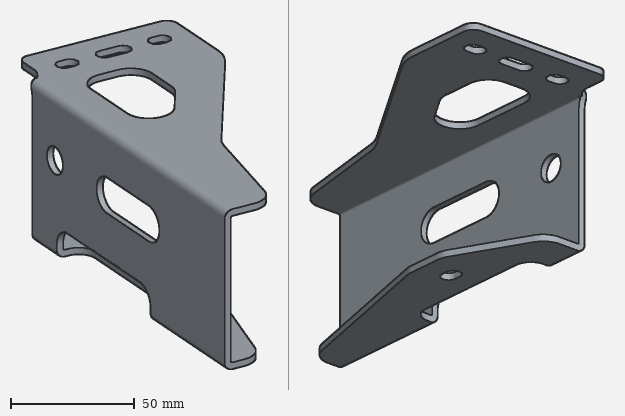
import cadquery as cq
import math

LENGTH = 170.0
DEPTH = 79.9
HEIGHT = 71.0
THICKNESS = 3.0
BEND_RADIUS = 3.7
INNER_RADIUS = BEND_RADIUS - THICKNESS
BOTTOM_DEPTH = 40.6
WEB_LEFT = 22.8
FLANGE_ZONE = HEIGHT / 2

SMALL_CORNER = 5.0
CORNER = 10.0
WIDE_CORNER = 20.0

TAB_FRONT = 7.0
SHOULDER_X = 41.8
WAIST = (112.5, 34.0)
TOP_RIGHT_Y = 22.5

RELIEF_RADIUS = CORNER
RELIEF_X = WEB_LEFT - RELIEF_RADIUS
RELIEF_END_Z = HEIGHT - 7.1

SLOT_WIDTH = 7.0
SHORT_SLOT = 9.9
LONG_SLOT = 15.8
TAB_SLOT_X = 15.0
TAB_SLOTS = [(21.5, SHORT_SLOT), (43.5, LONG_SLOT), (65.3, SHORT_SLOT)]
WINDOW_LEFT = 31.0
WINDOW_RIGHT = 78.9
WINDOW_FRONT = 16.7
WINDOW_BACK = 45.5
WINDOW_BEVEL_X = 58.8

WEB_HOLE_Z = HEIGHT - 28.0
WEB_HOLE_X = 40.1
WEB_HOLE_DIAMETER = 12.0
WEB_SLOT_X = 96.0
WEB_SLOT_LENGTH = 48.0
WEB_SLOT_WIDTH = 15.8

BOTTOM_SIDE_Y = 19.7
BOTTOM_PEAK_X = 64.0
BOTTOM_SLOT_X = 74.1
BOTTOM_SLOT_Y = 26.9
BOTTOM_RIGHT_Y = 17.0
NOTCH_LEFT = 41.6
NOTCH_RIGHT = 113.2
NOTCH_HEIGHT = 14.3
NOTCH_REACH = 13.5
NOTCH_CORNER = 8.0


def channel():
    """Bent section along the full length, before its edges are trimmed."""
    outer = cq.Workplane("XY").box(LENGTH, DEPTH, HEIGHT, centered=False)
    outer = outer.edges("|X and <Y").fillet(BEND_RADIUS)
    inner = (
        cq.Workplane("XY")
        .box(LENGTH, DEPTH, HEIGHT - 2 * THICKNESS, centered=False)
        .translate((0, THICKNESS, THICKNESS))
        .edges("|X and <Y")
        .fillet(INNER_RADIUS)
    )
    return outer.cut(inner)


def rounded_prism(corners, height):
    """Upright prism; each corner is (x, y, rounding radius), zero for a sharp one."""
    prism = cq.Workplane("XY").polyline([(x, y) for x, y, _ in corners]).close().extrude(height)
    for x, y, radius in corners:
        if radius:
            edge = cq.selectors.NearestToPointSelector((x, y, height / 2))
            prism = prism.edges("|Z").edges(edge).fillet(radius)
    return prism


def top_flange_zone():
    zone = rounded_prism(
        [
            (0, BEND_RADIUS, 0),
            (LENGTH, BEND_RADIUS, 0),
            (LENGTH, TOP_RIGHT_Y, CORNER),
            (*WAIST, WIDE_CORNER),
            (SHOULDER_X, DEPTH, WIDE_CORNER),
            (0, DEPTH, SMALL_CORNER),
        ],
        FLANGE_ZONE,
    )
    relief_width = relief_reach(TAB_FRONT - BEND_RADIUS)
    middle_drop = (TAB_FRONT - BEND_RADIUS) / 2
    relief = (
        cq.Workplane("XY")
        .moveTo(0, BEND_RADIUS)
        .lineTo(0, TAB_FRONT)
        .lineTo(RELIEF_X, TAB_FRONT)
        .threePointArc(
            (RELIEF_X + relief_reach(middle_drop), TAB_FRONT - middle_drop),
            (RELIEF_X + relief_width, BEND_RADIUS),
        )
        .close()
        .extrude(FLANGE_ZONE)
    )
    tab_corner = cq.selectors.NearestToPointSelector((0, TAB_FRONT, FLANGE_ZONE / 2))
    zone = zone.cut(relief).edges("|Z").edges(tab_corner).fillet(SMALL_CORNER)
    return zone.translate((0, 0, HEIGHT - FLANGE_ZONE))


def relief_reach(drop):
    """Sideways reach of the relief arc at a distance below its start."""
    return math.sqrt(RELIEF_RADIUS**2 - (RELIEF_RADIUS - drop) ** 2)


def web_zone():
    """Web and both bends; the upper left edge leans toward the tab."""
    bend_start_x = RELIEF_X + relief_reach(TAB_FRONT - BEND_RADIUS)
    bend_end_z = HEIGHT - BEND_RADIUS
    remaining = bend_end_z - RELIEF_END_Z
    bend_end_x = RELIEF_X + relief_reach(RELIEF_RADIUS - remaining)
    middle_x = RELIEF_X + relief_reach(RELIEF_RADIUS - remaining / 2)
    return (
        cq.Workplane("XZ")
        .moveTo(WEB_LEFT, 0)
        .lineTo(LENGTH, 0)
        .lineTo(LENGTH, HEIGHT)
        .lineTo(bend_start_x, HEIGHT)
        .lineTo(bend_end_x, bend_end_z)
        .threePointArc((middle_x, RELIEF_END_Z + remaining / 2), (WEB_LEFT, RELIEF_END_Z))
        .close()
        .extrude(-BEND_RADIUS)
    )


def bottom_flange_zone():
    bottom_peak_right = 2 * BOTTOM_SLOT_X - BOTTOM_PEAK_X
    return rounded_prism(
        [
            (WEB_LEFT, BEND_RADIUS, 0),
            (LENGTH, BEND_RADIUS, 0),
            (LENGTH, BOTTOM_RIGHT_Y, CORNER),
            (bottom_peak_right, BOTTOM_DEPTH, CORNER),
            (BOTTOM_PEAK_X, BOTTOM_DEPTH, CORNER),
            (WEB_LEFT, BOTTOM_SIDE_Y, CORNER),
        ],
        FLANGE_ZONE,
    )


def top_openings():
    window_slope = (DEPTH - WAIST[1]) / (WAIST[0] - SHOULDER_X)
    bevel_end_y = WINDOW_BACK - window_slope * (WINDOW_RIGHT - WINDOW_BEVEL_X)
    cutter = rounded_prism(
        [
            (WINDOW_LEFT, WINDOW_FRONT, CORNER),
            (WINDOW_RIGHT, WINDOW_FRONT, CORNER),
            (WINDOW_RIGHT, bevel_end_y, CORNER),
            (WINDOW_BEVEL_X, WINDOW_BACK, CORNER),
            (WINDOW_LEFT, WINDOW_BACK, CORNER),
        ],
        FLANGE_ZONE,
    )
    for y, length in TAB_SLOTS:
        slot = cq.Workplane("XY").center(TAB_SLOT_X, y).slot2D(length, SLOT_WIDTH, 90)
        cutter = cutter.union(slot.extrude(FLANGE_ZONE))
    return cutter.translate((0, 0, HEIGHT - FLANGE_ZONE))


def web_openings():
    hole = cq.Workplane("XZ").center(WEB_HOLE_X, WEB_HOLE_Z).circle(WEB_HOLE_DIAMETER / 2)
    slot = cq.Workplane("XZ").center(WEB_SLOT_X, WEB_HOLE_Z).slot2D(WEB_SLOT_LENGTH, WEB_SLOT_WIDTH)
    return hole.extrude(-BEND_RADIUS).union(slot.extrude(-BEND_RADIUS))


def bottom_slot():
    slot = cq.Workplane("XY").center(BOTTOM_SLOT_X, BOTTOM_SLOT_Y)
    return slot.slot2D(SHORT_SLOT, SLOT_WIDTH).extrude(FLANGE_ZONE)


def bend_notch():
    """Rounded notch that runs from the web around the bend into the bottom flange."""
    width = NOTCH_RIGHT - NOTCH_LEFT
    web_part = (
        cq.Workplane("XY")
        .box(width, BEND_RADIUS, NOTCH_HEIGHT, centered=False)
        .edges("|Y and >Z")
        .fillet(NOTCH_CORNER)
    )
    flange_part = (
        cq.Workplane("XY")
        .box(width, NOTCH_REACH, BEND_RADIUS, centered=False)
        .edges("|Z and >Y")
        .fillet(NOTCH_CORNER)
    )
    return web_part.union(flange_part).translate((NOTCH_LEFT, 0, 0))


trimming = top_flange_zone().union(web_zone()).union(bottom_flange_zone())
result = channel().intersect(trimming)
for opening in (top_openings(), web_openings(), bottom_slot(), bend_notch()):
    result = result.cut(opening)